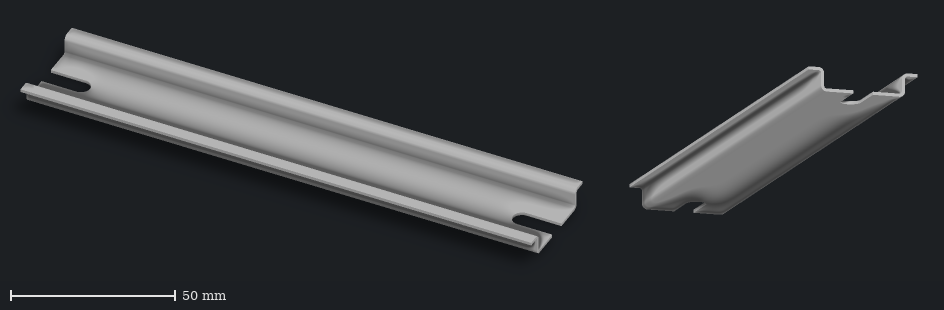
import cadquery as cq

length = 174.0
width = 35.0
height = 7.5

thickness = 1.0
inner_radius = 0.8
outer_radius = inner_radius + thickness
channel_width = 27.0

slot_width = 6.3
slot_depth = 15.0


def rail_body():
    """Bent sheet: a flat base, two side walls and two outward flanges."""
    half_width = width / 2
    wall_outer = channel_width / 2
    wall_inner = wall_outer - thickness
    flange_bottom = height - thickness
    rail = (
        cq.Workplane("YZ")
        .moveTo(-half_width, height)
        .lineTo(-wall_inner, height)
        .lineTo(-wall_inner, thickness)
        .lineTo(wall_inner, thickness)
        .lineTo(wall_inner, height)
        .lineTo(half_width, height)
        .lineTo(half_width, flange_bottom)
        .lineTo(wall_outer, flange_bottom)
        .lineTo(wall_outer, 0)
        .lineTo(-wall_outer, 0)
        .lineTo(-wall_outer, flange_bottom)
        .lineTo(-half_width, flange_bottom)
        .close()
        .extrude(length / 2, both=True)
    )

    inside = [(wall_inner, thickness), (wall_outer, flange_bottom)]
    outside = [(wall_outer, 0), (wall_inner, height)]
    for corners, radius in ((inside, inner_radius), (outside, outer_radius)):
        for wall_y, z in corners:
            for side in (-1, 1):
                corner = (0, side * wall_y, z)
                rail = rail.edges(cq.selectors.NearestToPointSelector(corner)).fillet(radius)
    return rail


def end_slot(side):
    """Cutter for the round-bottomed slot open at one end (side is -1 or 1)."""
    return (
        cq.Workplane("XY")
        .center(side * length / 2, 0)
        .slot2D(2 * slot_depth, slot_width)
        .extrude(height)
    )


result = rail_body()
for end in (-1, 1):
    result = result.cut(end_slot(end))